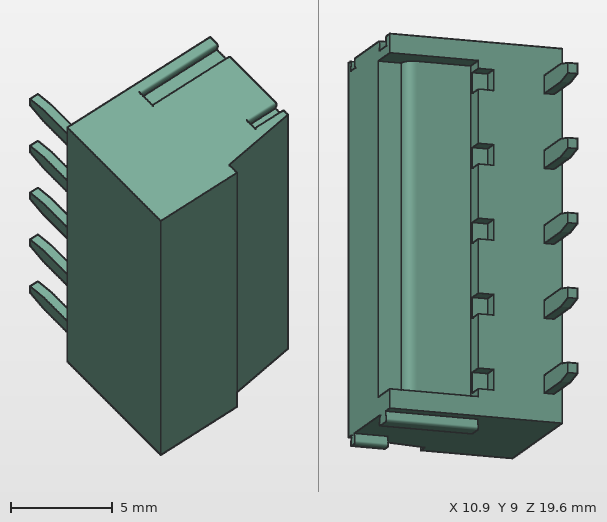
import cadquery as cq
import math

pole_count = 5
pitch = 3.81
height = pole_count * pitch
width = 7.4
depth = 9.0
step_depth = 4.8
slope_foot_x = 6.78
slope_head_x = 6.15

end_wall = 0.98
recess_span = 4.62
recess_depth = 1.75
ledge_depth = 1.15
ledge_offset = 1.2
ledge_radius = recess_depth - ledge_depth

notch_span = 0.79
notch_height = 1.05
notch_depth = 0.9

pin_length = 3.5
pin_taper_length = 1.05
pin_height = 0.92
pin_tip_height = 0.52
pin_thickness = 0.5
pin_center_y = 0.69

rail_height = 0.55
groove_depth = 0.5
dovetail_angle = 14.0
dovetail_round = 0.12
groove_run_out = 0.06
dovetails = [
    (1.05, 0.81, 4.8),
    (5.5, 0.42, 1.74),
]


def pole_levels():
    """Z of each pole's center line."""
    return [(pole + 0.5) * pitch for pole in range(pole_count)]


def make_housing():
    return (
        cq.Workplane("XY")
        .polyline([
            (0, 0),
            (width, 0),
            (width, step_depth),
            (slope_foot_x, step_depth),
            (slope_head_x, depth),
            (0, depth),
        ])
        .close()
        .extrude(height)
    )


def make_recess():
    """Volume of the recess, with the rounded rise in its floor."""
    ledge_y = depth - ledge_offset
    return (
        cq.Workplane("XY", origin=(0, 0, end_wall))
        .moveTo(0, depth)
        .lineTo(recess_depth, depth)
        .lineTo(recess_depth, ledge_y)
        .radiusArc((ledge_depth, ledge_y - ledge_radius), -ledge_radius)
        .lineTo(ledge_depth, depth - recess_span)
        .lineTo(0, depth - recess_span)
        .close()
        .extrude(height - 2 * end_wall)
    )


def make_notch(level):
    return (
        cq.Workplane("XY")
        .box(notch_depth, notch_span, notch_height, centered=(False, False, True))
        .translate((0, depth - recess_span - notch_span, level))
    )


def make_pin(level):
    """Flat pin pointing to -X, tapered in height towards its tip."""
    shoulder_x = pin_taper_length - pin_length
    half_height = pin_height / 2
    half_tip = pin_tip_height / 2
    return (
        cq.Workplane("XZ", origin=(0, pin_center_y, level))
        .polyline([
            (0, -half_height),
            (0, half_height),
            (shoulder_x, half_height),
            (-pin_length, half_tip),
            (-pin_length, -half_tip),
            (shoulder_x, -half_height),
        ])
        .close()
        .extrude(pin_thickness / 2, both=True)
    )


def make_dovetail(center_x, root_width, length, thickness, top_z):
    """Dovetail prism ending at the +Y face: narrow at top_z, wider below."""
    half_root = root_width / 2
    half_tip = half_root + thickness * math.tan(math.radians(dovetail_angle))
    return (
        cq.Workplane("XZ", origin=(center_x, depth, top_z))
        .polyline([
            (-half_root, 0),
            (half_root, 0),
            (half_tip, -thickness),
            (-half_tip, -thickness),
        ])
        .close()
        .extrude(length)
    )


def make_rail(center_x, root_width, length):
    rail = make_dovetail(center_x, root_width, length, rail_height, 0)
    return rail.faces("<Z").edges("|Y").fillet(dovetail_round)


def cut_groove(body, center_x, root_width, rail_length):
    """Cut one dovetail groove into the top and round its mouth edges."""
    length = rail_length + groove_run_out
    body = body.cut(make_dovetail(center_x, root_width, length, groove_depth, height))
    for side in (-1, 1):
        edge_x = center_x + side * root_width / 2
        mouth_point = (edge_x, depth - length / 2, height)
        mouth_edge = cq.selectors.NearestToPointSelector(mouth_point)
        body = body.edges(mouth_edge).fillet(dovetail_round)
    return body


result = make_housing().cut(make_recess())
for dovetail in dovetails:
    result = cut_groove(result, *dovetail)
    result = result.union(make_rail(*dovetail))
for pole_z in pole_levels():
    result = result.cut(make_notch(pole_z))
    result = result.union(make_pin(pole_z))